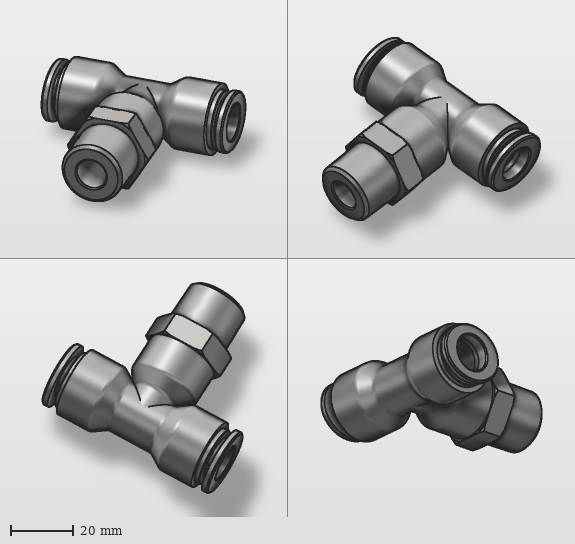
import cadquery as cq
import math


arm_length = 25.0
socket_radius = 11.75
waist_radius = 8.5
cone_start = 8.05
cone_end = 13.05
cone_blend = 2.0
tube_bore_radius = 12.2 / 2
tube_bore_end = 13.6

collar_radius = 19.6 / 2
collar_length = 1.85
collar_chamfer = 0.2

button_end = 30.9
neck_radius = 14.2 / 2
flange_thickness = 2.15
flange_width = 22.6
flange_height = 19.6
flange_chamfer = 0.5
tube_bore_chamfer = 0.45

stud_end = 59.75 - socket_radius
hex_length = 8.0
hex_across_flats = 24.0
hex_bevel_radius = 12.7
hex_bevel_depth = 0.5
thread_root_radius = 10.5
thread_tip_radius = 10.25
thread_chamfer = 1.1
stud_bore_radius = 10.0 / 2
stud_bore_chamfer = 0.5

collar_end = arm_length + collar_length
flange_start = button_end - flange_thickness
hex_end = arm_length + hex_length
hex_corner_radius = hex_across_flats / 2 / math.cos(math.pi / 6)

run_turns = (0, 180)
branch_turn = -90


def plane_along_x(x):
    """Plane across the run at x, with local X along Y and local Y along Z."""
    return cq.Workplane("YZ", origin=(x, 0, 0))


def turn_about_z(shape, turn):
    """Turn a shape built along +X so that it points along another arm."""
    return shape.rotate((0, 0, 0), (0, 0, 1), turn)


def revolve_about_x(points):
    """Solid of revolution about X from (x, radius) points."""
    return cq.Workplane("XY").polyline(points).close().revolve(360, (0, 0, 0), (1, 0, 0))


def make_arm():
    """Waist, blended cone and socket of one arm, from the origin along +X."""
    arm = revolve_about_x([
        (0, 0),
        (0, waist_radius),
        (cone_start, waist_radius),
        (cone_end, socket_radius),
        (arm_length, socket_radius),
        (arm_length, 0),
    ])
    cone_rims = cq.selectors.BoxSelector(
        (cone_start - cone_blend, -socket_radius, -socket_radius),
        (cone_end + cone_blend, socket_radius, socket_radius),
    )
    return arm.edges("%CIRCLE").edges(cone_rims).fillet(cone_blend)


def make_tee_body():
    """Three arms with a blind tube bore in each end of the run."""
    arm = make_arm()
    tube_bore = (
        plane_along_x(tube_bore_end)
        .circle(tube_bore_radius)
        .extrude(arm_length - tube_bore_end)
    )
    body = turn_about_z(arm, branch_turn)
    for turn in run_turns:
        body = body.union(turn_about_z(arm, turn))
    for turn in run_turns:
        body = body.cut(turn_about_z(tube_bore, turn))
    return body


def make_collar():
    """Ring between the +X socket and its release button."""
    return (
        plane_along_x(arm_length)
        .circle(collar_radius)
        .extrude(collar_length)
        .faces(">X").edges().chamfer(collar_chamfer)
        .faces(">X").workplane()
        .circle(tube_bore_radius)
        .cutThruAll()
    )


def make_release_button():
    """Neck and oval flange at the +X end, with the tube entry."""
    flange = (
        plane_along_x(flange_start)
        .ellipse(flange_width / 2, flange_height / 2)
        .extrude(flange_thickness)
        .faces(">X").edges().chamfer(flange_chamfer)
    )
    neck = plane_along_x(collar_end).circle(neck_radius).extrude(flange_start - collar_end)
    bore = plane_along_x(collar_end).circle(tube_bore_radius).extrude(button_end - collar_end)
    return (
        flange.union(neck)
        .cut(bore)
        .faces(">X").edges("%CIRCLE").chamfer(tube_bore_chamfer)
    )


def make_stud():
    """Bevelled hexagon and tapered thread blank with a through bore."""
    hexagon = (
        plane_along_x(arm_length)
        .polygon(6, 2 * hex_corner_radius)
        .extrude(hex_length)
    )
    bevel_envelope = revolve_about_x([
        (arm_length, 0),
        (arm_length, hex_bevel_radius),
        (arm_length + hex_bevel_depth, hex_corner_radius),
        (hex_end - hex_bevel_depth, hex_corner_radius),
        (hex_end, hex_bevel_radius),
        (hex_end, 0),
    ])
    thread_blank = revolve_about_x([
        (hex_end, 0),
        (hex_end, thread_root_radius),
        (stud_end - thread_chamfer, thread_tip_radius),
        (stud_end, thread_tip_radius - thread_chamfer),
        (stud_end, 0),
    ])
    bore = plane_along_x(arm_length).circle(stud_bore_radius).extrude(stud_end - arm_length)
    smallest_circle = cq.selectors.RadiusNthSelector(0)
    stud = (
        hexagon.intersect(bevel_envelope)
        .union(thread_blank)
        .cut(bore)
        .faces(">X").edges(smallest_circle).chamfer(stud_bore_chamfer)
    )
    return turn_about_z(stud, branch_turn)


tee_body = make_tee_body()
collars = [turn_about_z(make_collar(), turn) for turn in run_turns]
release_buttons = [turn_about_z(make_release_button(), turn) for turn in run_turns]
stud = make_stud()

result = cq.Compound.makeCompound([
    tee_body.val(),
    *[collar.val() for collar in collars],
    *[button.val() for button in release_buttons],
    stud.val(),
])